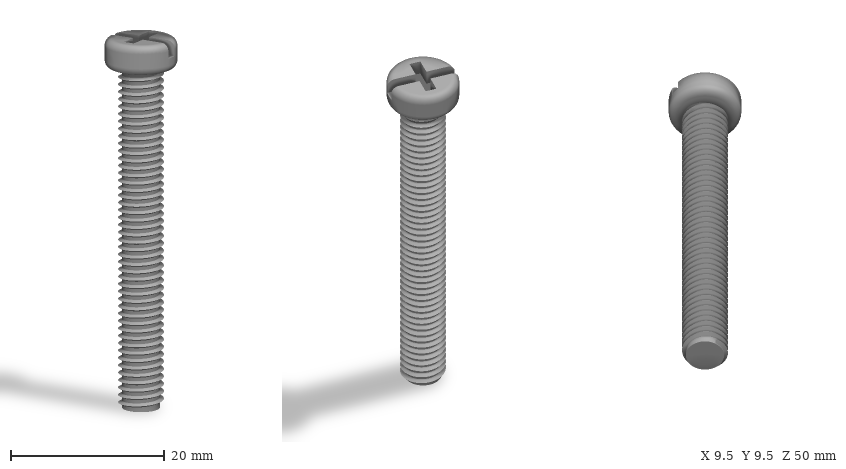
import cadquery as cq

TOTAL_LENGTH = 50.0
HEAD_DIAMETER = 9.5
HEAD_HEIGHT = 4.0
HEAD_FILLET = 1.0
SHANK_LENGTH = TOTAL_LENGTH - HEAD_HEIGHT

CORE_RADIUS = 2.5
CREST_RADIUS = 3.0
PITCH = 1.0
RIDGE_BASE_WIDTH = 0.55
RIDGE_EMBED = 0.1
THREAD_START_HEIGHT = 0.35
THREAD_START_ANGLE = 90.0
THREAD_TURNS = SHANK_LENGTH / PITCH

SLOT_WIDTH = 1.5
SLOT_DEPTH = 2.0
CROSS_ARM_LENGTH = 6.0


def make_head():
    head = (
        cq.Workplane("XY")
        .workplane(offset=SHANK_LENGTH)
        .circle(HEAD_DIAMETER / 2)
        .extrude(HEAD_HEIGHT)
    )
    return head.edges("%CIRCLE").fillet(HEAD_FILLET)


def make_core():
    """Plain shank, run one pitch into the head, past the end of the thread."""
    return cq.Workplane("XY").circle(CORE_RADIUS).extrude(SHANK_LENGTH + PITCH)


def make_thread():
    """Triangular ridge swept along a helix, straight flanks continued below the core surface."""
    flank_slope = RIDGE_BASE_WIDTH / 2 / (CREST_RADIUS - CORE_RADIUS)
    inner_radius = CORE_RADIUS - RIDGE_EMBED
    inner_half_width = flank_slope * (CREST_RADIUS - inner_radius)
    helix = cq.Wire.makeHelix(PITCH, PITCH * THREAD_TURNS, CORE_RADIUS)
    ridge = (
        cq.Workplane("XZ")
        .moveTo(inner_radius, -inner_half_width)
        .lineTo(CREST_RADIUS, 0)
        .lineTo(inner_radius, inner_half_width)
        .close()
        .sweep(cq.Workplane(helix), isFrenet=True)
    )
    ridge = ridge.rotate((0, 0, 0), (0, 0, 1), THREAD_START_ANGLE)
    return ridge.translate((0, 0, THREAD_START_HEIGHT))


def make_recess():
    recess_top = cq.Workplane("XY").workplane(offset=TOTAL_LENGTH)
    slot = recess_top.rect(HEAD_DIAMETER, SLOT_WIDTH).extrude(-SLOT_DEPTH)
    cross_arm = recess_top.rect(SLOT_WIDTH, CROSS_ARM_LENGTH).extrude(-SLOT_DEPTH)
    return slot.union(cross_arm)


shank = make_core().union(make_thread())
result = shank.union(make_head()).cut(make_recess())